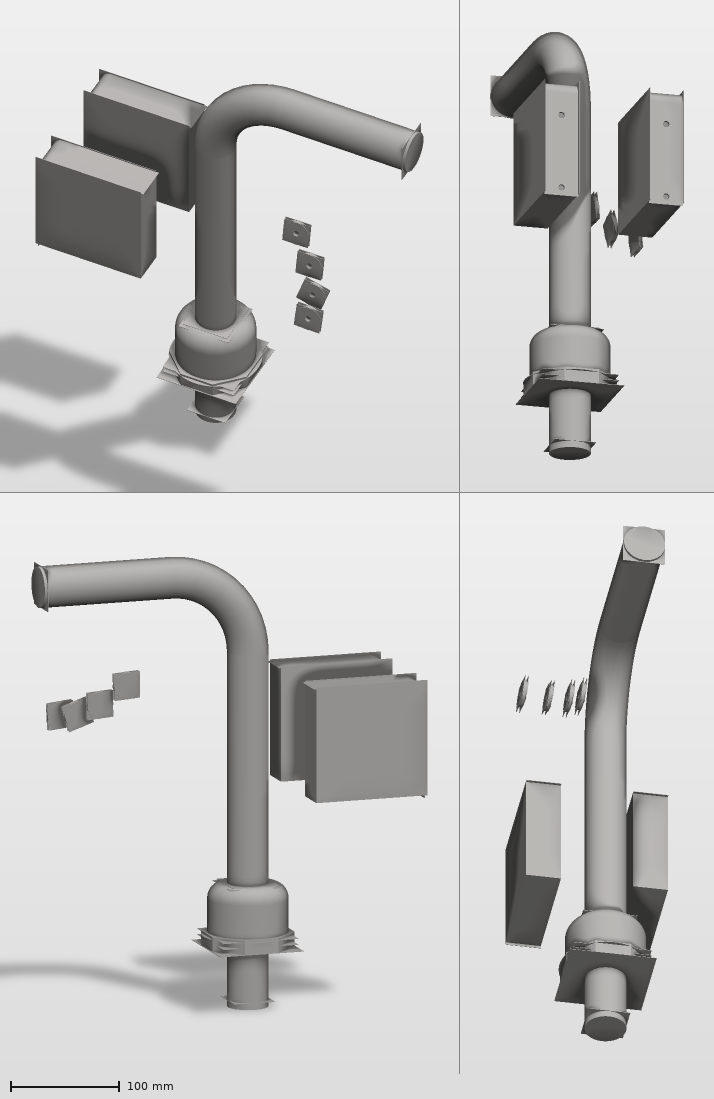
import cadquery as cq
import math


plate_thickness = 0.5

pipe_diameter = 38.5
overall_height = 427.3
pipe_end_x = 204.0
bend_radius = 74.8
end_plate_side = 39.5
foot_plate_z = 6.5
end_plate_setback = 3.0
upper_axis_z = overall_height - end_plate_side / 2

nut_flats = 79.5
nut_bottom_z = 56.5
nut_top_z = 70.5
nut_disc_diameter = 86.5
nut_disc_z = 68.0
nut_base_plate_side = 81.0
nut_upper_plate_side = 73.0
nut_upper_plate_heights = (62.5, 68.0)

cap_diameter = 74.8
cap_top_z = 116.2
cap_dome_radius = 14.0
cap_plate_side = 51.0
cap_plate_z = 114.5
cap_top_plate_side = 45.5

box_left_x = -149.5
box_right_x = -44.0
box_bottom_z = 201.0
box_top_z = 308.0
box_width = 32.5
box_centre_y = 50.0
box_corner_radius = 10.3
box_plate_overhang = 2.5
box_plate_top_z = 309.5
box_lip = 2.5
box_hole_diameter = 6.0
box_hole_depth = 2.5
box_hole_heights = (206.0, 276.0)

washer_diameter = 25.5
washer_thickness = 4.3
washer_hole_diameter = 6.0
washer_plate_inset = 0.5
washer_placements = (
    ((104.0, -41.5, 300.0), (3, -5, 4)),
    ((124.8, -56.5, 280.5), (3, -5, 4)),
    ((139.0, -78.0, 268.0), (18, -5, 4)),
    ((147.0, -104.0, 262.8), (5, -5, 4)),
)


def level_plate(side, centre_z):
    """Thin level square plate centred on the Z axis."""
    return cq.Workplane("XY").box(side, side, plate_thickness).translate((0, 0, centre_z))


def make_pipe():
    """Bent round pipe with a square plate near each end."""
    bend_start_z = upper_axis_z - bend_radius
    bend_middle = bend_radius * (1 - math.sqrt(0.5))
    centre_line = (
        cq.Workplane("XZ")
        .lineTo(0, bend_start_z)
        .threePointArc((bend_middle, upper_axis_z - bend_middle), (bend_radius, upper_axis_z))
        .lineTo(pipe_end_x, upper_axis_z)
    )
    tube = cq.Workplane("XY").circle(pipe_diameter / 2).sweep(centre_line)
    end_plate = (
        cq.Workplane("XY")
        .box(plate_thickness, end_plate_side, end_plate_side)
        .translate((pipe_end_x - end_plate_setback, 0, upper_axis_z))
    )
    return tube.union(level_plate(end_plate_side, foot_plate_z)).union(end_plate)


def pipe_bore():
    """Upright cylinder that clears the pipe out of the bodies round it."""
    return cq.Workplane("XY").circle(pipe_diameter / 2).extrude(cap_top_z + 4.3)


def make_nut():
    """Octagonal nut with a thin round disc and square plates."""
    corner_diameter = nut_flats / math.cos(math.pi / 8)
    nut = (
        cq.Workplane("XY", origin=(0, 0, nut_bottom_z))
        .transformed(rotate=(0, 0, 22.5))
        .polygon(8, corner_diameter)
        .extrude(nut_top_z - nut_bottom_z)
    )
    disc = (
        cq.Workplane("XY", origin=(0, 0, nut_disc_z - plate_thickness / 2))
        .circle(nut_disc_diameter / 2)
        .extrude(plate_thickness)
    )
    nut = nut.union(disc).union(level_plate(nut_base_plate_side, nut_bottom_z + plate_thickness / 2))
    for plate_z in nut_upper_plate_heights:
        nut = nut.union(level_plate(nut_upper_plate_side, plate_z))
    return nut.cut(pipe_bore())


def make_cap():
    """Round cap with a domed shoulder and two square plates at its top."""
    cap = (
        cq.Workplane("XY", origin=(0, 0, nut_top_z))
        .circle(cap_diameter / 2)
        .extrude(cap_top_z - nut_top_z)
        .faces(">Z")
        .edges()
        .fillet(cap_dome_radius)
    )
    cap = cap.union(level_plate(cap_plate_side, cap_plate_z))
    cap = cap.union(level_plate(cap_top_plate_side, cap_top_z))
    return cap.cut(pipe_bore())


def block(x_range, y_range, z_range):
    """Rectangular block between the given limits."""
    return (
        cq.Workplane("XY")
        .box(
            x_range[1] - x_range[0],
            y_range[1] - y_range[0],
            z_range[1] - z_range[0],
            centered=False,
        )
        .translate((x_range[0], y_range[0], z_range[0]))
    )


def make_box(centre_y):
    """Box with one rounded edge, thin plates over its faces and two blind holes in its left face."""
    near_y = centre_y - box_width / 2
    far_y = centre_y + box_width / 2
    box = (
        block((box_left_x, box_right_x), (near_y, far_y), (box_bottom_z, box_top_z))
        .edges("<X and >Z")
        .fillet(box_corner_radius)
    )
    for plate_y in (near_y, far_y - plate_thickness):
        side_plate = block(
            (box_left_x - box_plate_overhang, box_right_x),
            (plate_y, plate_y + plate_thickness),
            (box_bottom_z, box_plate_top_z),
        )
        box = box.union(side_plate)
    top_lip = block(
        (box_left_x + box_corner_radius, box_right_x + box_lip),
        (near_y, far_y),
        (box_top_z - plate_thickness, box_top_z),
    )
    left_lip = block(
        (box_left_x, box_left_x + plate_thickness),
        (near_y, far_y),
        (box_bottom_z - box_lip, box_top_z - box_corner_radius),
    )
    box = box.union(top_lip).union(left_lip)
    for hole_z in box_hole_heights:
        hole = (
            cq.Workplane("YZ", origin=(box_left_x, centre_y, hole_z))
            .circle(box_hole_diameter / 2)
            .extrude(box_hole_depth)
        )
        box = box.cut(hole)
    return box


def make_washer(centre, turns):
    """Disc between two square plates, with a hole that stops at the rear plate."""
    rear_y = washer_thickness / 2
    washer = (
        cq.Workplane("XZ", origin=(0, rear_y, 0))
        .circle(washer_diameter / 2)
        .extrude(washer_thickness)
    )
    plate_offset = washer_thickness / 2 - washer_plate_inset - plate_thickness / 2
    for plate_y in (-plate_offset, plate_offset):
        plate = cq.Workplane("XY").box(washer_diameter, plate_thickness, washer_diameter)
        washer = washer.union(plate.translate((0, plate_y, 0)))
    hole_end_y = rear_y - washer_plate_inset - plate_thickness
    hole = (
        cq.Workplane("XZ", origin=(0, hole_end_y, 0))
        .circle(washer_hole_diameter / 2)
        .extrude(washer_thickness)
    )
    washer = washer.cut(hole)
    turn_axes = ((0, 1, 0), (1, 0, 0), (0, 0, 1))
    for axis, angle in zip(turn_axes, turns):
        washer = washer.rotate((0, 0, 0), axis, angle)
    return washer.translate(centre)


pipe = make_pipe()
nut = make_nut()
cap = make_cap()
boxes = [make_box(side * box_centre_y) for side in (-1, 1)]
washers = [make_washer(centre, turns) for centre, turns in washer_placements]

result = cq.Compound.makeCompound(
    [
        pipe.val(),
        nut.val(),
        cap.val(),
        *[box.val() for box in boxes],
        *[washer.val() for washer in washers],
    ]
)